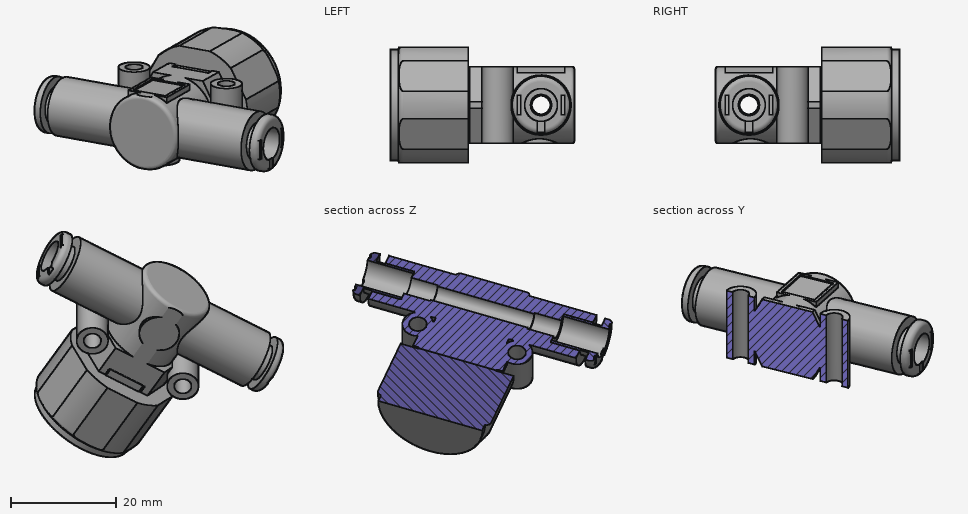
import cadquery as cq
import math


run_length = 42.15
run_diameter = 11.4
passage_diameter = 3.5
passage_length = 19.6
tube_stop_diameter = 4.0
collet_seat_depth = 5.9

barrel_diameter = 14.9
barrel_front = -6.35
barrel_round = 0.8
body_height = 14.55
hexagon_start = 7.35
hexagon_end = 13.55
hexagon_width = 18.25
hexagon_top_width = 10.85
hexagon_side_height = 1.25
neck_flats = 14.0
neck_diameter = 15.8

notch_width = 7.85
notch_depth = 0.8
notch_start = 12.05

pad_width = 8.45
pad_length = 8.95
pad_thickness = 1.2
pad_rim = 0.7
panel_depth = 0.25

boss_diameter = 7.6
boss_y = 0.3

ear_diameter = 6.0
ear_hole_diameter = 3.3
ear_x = 10.05
ear_y = 8.25

nut_start = 13.8
nut_hexagon_end = 27.1
nut_end = 28.6
nut_flats = 22.0
nut_corner_diameter = 23.0
nut_round = 0.95
collar_diameter = 21.1

collet_end = 24.5
flange_diameter = 11.0
flange_thickness = 1.7
flange_round = 1.0
sleeve_diameter = 7.2
collet_bore = 6.2
face_pocket_depth = 0.3
side_pocket_width = 0.7
side_pocket_height = 3.7
side_pocket_outer = 4.5
radial_slot_width = 1.45

half_height = body_height / 2
seat_floor = run_length / 2 - collet_seat_depth


def x_cylinder(diameter, start, end):
    return cq.Workplane("YZ", origin=(start, 0, 0)).circle(diameter / 2).extrude(end - start)


def y_cylinder(diameter, start, end):
    return cq.Workplane("XZ", origin=(0, start, 0)).circle(diameter / 2).extrude(start - end)


def y_hexagon(flats, start, end):
    """Hexagonal prism along Y with two of its flats facing +Z and -Z."""
    corner_diameter = flats / math.cos(math.pi / 6)
    return cq.Workplane("XZ", origin=(0, start, 0)).polygon(6, corner_diameter).extrude(start - end)


def make_barrel():
    """Round body with a rounded front edge, cut flat at the top and bottom."""
    barrel = y_cylinder(barrel_diameter, barrel_front, hexagon_start)
    barrel = barrel.faces("<Y").edges().fillet(barrel_round)
    length = hexagon_start - barrel_front
    middle = (hexagon_start + barrel_front) / 2
    flats = cq.Workplane("XY").box(barrel_diameter, length, body_height).translate((0, middle, 0))
    return barrel.intersect(flats)


def make_wrench_hexagon():
    """Hexagon with clipped side corners, notched around the neck at the top and bottom."""
    half_top = hexagon_top_width / 2
    half_side = hexagon_side_height / 2
    half_width = hexagon_width / 2
    hexagon = (
        cq.Workplane("XZ", origin=(0, hexagon_start, 0))
        .polyline([
            (half_top, half_height),
            (half_width, half_side),
            (half_width, -half_side),
            (half_top, -half_height),
            (-half_top, -half_height),
            (-half_width, -half_side),
            (-half_width, half_side),
            (-half_top, half_height),
        ])
        .close()
        .extrude(hexagon_start - hexagon_end)
    )
    notch_length = hexagon_end - notch_start
    for side in (1, -1):
        notch = cq.Workplane("XY").box(notch_width, notch_length, notch_depth)
        notch_z = side * (half_height - notch_depth / 2)
        hexagon = hexagon.cut(notch.translate((0, notch_start + notch_length / 2, notch_z)))
    return hexagon


def make_neck():
    """Short hexagonal neck with round corners that meets the nut."""
    hexagon = y_hexagon(neck_flats, hexagon_start, nut_start)
    return hexagon.intersect(y_cylinder(neck_diameter, hexagon_start, nut_start))


def make_label_pad():
    """Rectangular pad whose top is level with the flats of the barrel."""
    return (
        cq.Workplane("XY", origin=(0, 0, half_height))
        .rect(pad_width, pad_length)
        .extrude(-pad_thickness)
    )


def make_label_panel():
    """Shallow recess inside the rim of the label pad."""
    return (
        cq.Workplane("XY", origin=(0, 0, half_height))
        .rect(pad_width - 2 * pad_rim, pad_length - 2 * pad_rim)
        .extrude(-panel_depth)
    )


def make_boss():
    """Upright cylinder that shows below the round of the barrel."""
    return cq.Workplane("XY", origin=(0, boss_y, 0)).circle(boss_diameter / 2).extrude(-half_height)


def make_ears(diameter):
    """Pair of upright cylinders, used for the ears and for their holes."""
    return (
        cq.Workplane("XY", origin=(0, 0, -half_height))
        .pushPoints([(-ear_x, ear_y), (ear_x, ear_y)])
        .circle(diameter / 2)
        .extrude(body_height)
    )


def make_housing():
    housing = (
        make_barrel()
        .union(x_cylinder(run_diameter, -run_length / 2, run_length / 2))
        .union(make_wrench_hexagon())
        .union(make_neck())
        .union(make_label_pad())
        .union(make_boss())
        .union(make_ears(ear_diameter))
        .cut(make_label_panel())
        .cut(make_ears(ear_hole_diameter))
    )
    housing = housing.cut(x_cylinder(passage_diameter, -passage_length / 2, passage_length / 2))
    for side in (1, -1):
        housing = housing.cut(x_cylinder(tube_stop_diameter, side * passage_length / 2, side * seat_floor))
        housing = housing.cut(x_cylinder(sleeve_diameter, side * seat_floor, side * run_length / 2))
    return housing


def make_nut():
    """Hexagon nut with rounded corners and a round collar at its open end."""
    corners = y_cylinder(nut_corner_diameter, nut_start, nut_hexagon_end)
    corners = corners.faces(">Y").edges().fillet(nut_round)
    hexagon = y_hexagon(nut_flats, nut_start, nut_hexagon_end).intersect(corners)
    return hexagon.union(y_cylinder(collar_diameter, nut_hexagon_end, nut_end))


def make_collet():
    """Release collet for the +X end of the run, with side pockets and a radial slot in its outer face."""
    flange = x_cylinder(flange_diameter, collet_end - flange_thickness, collet_end)
    flange = flange.faces(">X").edges().fillet(flange_round)
    collet = flange.union(x_cylinder(sleeve_diameter, seat_floor, collet_end - flange_thickness))
    collet = collet.cut(x_cylinder(collet_bore, seat_floor, collet_end))
    face = cq.Workplane("YZ", origin=(collet_end, 0, 0))
    side_pocket_y = side_pocket_outer - side_pocket_width / 2
    side_pockets = (
        face.pushPoints([(-side_pocket_y, 0), (side_pocket_y, 0)])
        .rect(side_pocket_width, side_pocket_height)
        .extrude(-face_pocket_depth)
    )
    slot_length = flange_diameter / 2
    radial_slot = (
        face.center(0, -slot_length / 2)
        .rect(radial_slot_width, slot_length)
        .extrude(-face_pocket_depth)
    )
    return collet.cut(side_pockets).cut(radial_slot)


housing = make_housing()
nut = make_nut()
collets = []
for turn in (0, 180):
    collet = make_collet().rotate((0, 0, 0), (0, 0, 1), turn)
    collets.append(collet.val())

result = cq.Compound.makeCompound([housing.val(), nut.val(), *collets])